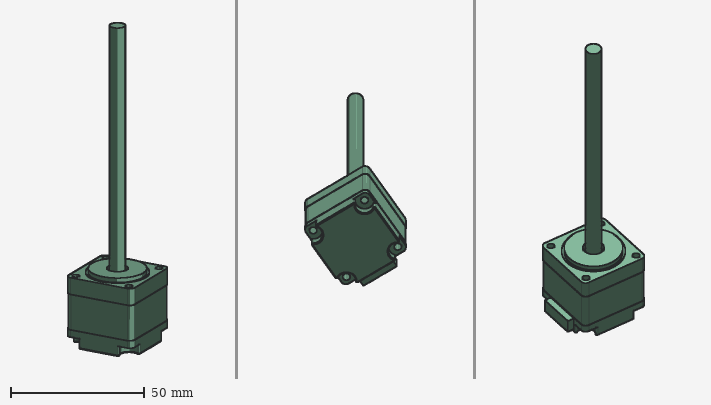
import cadquery as cq

body_width = 28.5
corner_radius = 2.0
middle_inset = 0.1
rear_cap_top = 7.0
front_cap_bottom = 21.2
front_cap_top = 27.8
bottom_chamfer_height = 0.5
bottom_chamfer_inset = 0.4

boss_diameter = 22.0
boss_top = 29.4
groove_diameter = 24.0
groove_depth = 0.3

shaft_diameter = 6.0
shaft_top = 126.0
bore_diameter = 8.0
bore_depth = 2.5

hole_diameter = 2.8
hole_inset = 2.8

notch_height = 4.2
notch_radius = 3.5
notch_lip_radius = 0.5

connector_width = 15.0
connector_reach = 2.8
connector_bottom = 1.5
connector_top = 6.8

half_width = body_width / 2
hole_pitch = body_width - 2 * hole_inset


def square_section(width, bottom, top):
    """Square prism with rounded vertical edges."""
    prism = cq.Workplane("XY").workplane(offset=bottom).rect(width, width).extrude(top - bottom)
    return prism.edges("|Z").fillet(corner_radius)


def cylinder(diameter, bottom, top):
    """Cylinder on the motor axis."""
    return cq.Workplane("XY").workplane(offset=bottom).circle(diameter / 2).extrude(top - bottom)


def at_square_corners(pitch):
    """Workplane at Z = 0 with points at the four corners of a centred square."""
    return cq.Workplane("XY").rect(pitch, pitch, forConstruction=True).vertices()


def rear_base():
    """Lowest part of the rear cap, with notched corners and a chamfered bottom edge."""
    base = cq.Workplane("XY").rect(body_width, body_width).extrude(notch_height)
    corner_size = 2 * hole_inset
    base = base.cut(at_square_corners(body_width).rect(corner_size, corner_size).extrude(notch_height))
    base = base.cut(at_square_corners(hole_pitch).circle(notch_radius).extrude(notch_height))
    base = base.edges("|Z").fillet(notch_lip_radius)
    return base.faces("<Z").edges().chamfer(bottom_chamfer_inset, bottom_chamfer_height)


middle_width = body_width - 2 * middle_inset
body = (
    rear_base()
    .union(square_section(body_width, notch_height, rear_cap_top))
    .union(square_section(middle_width, rear_cap_top, front_cap_bottom))
    .union(square_section(body_width, front_cap_bottom, front_cap_top))
)

connector = (
    cq.Workplane("XY")
    .workplane(offset=connector_bottom)
    .center(0, half_width)
    .rect(connector_width, 2 * connector_reach)
    .extrude(connector_top - connector_bottom)
)

mounting_holes = at_square_corners(hole_pitch).circle(hole_diameter / 2).extrude(front_cap_top)

groove_bottom = front_cap_top - groove_depth
bore_bottom = boss_top - bore_depth
result = (
    body.union(connector)
    .cut(mounting_holes)
    .cut(cylinder(groove_diameter, groove_bottom, front_cap_top))
    .union(cylinder(boss_diameter, groove_bottom, boss_top))
    .cut(cylinder(bore_diameter, bore_bottom, boss_top))
    .union(cylinder(shaft_diameter, bore_bottom, shaft_top))
)